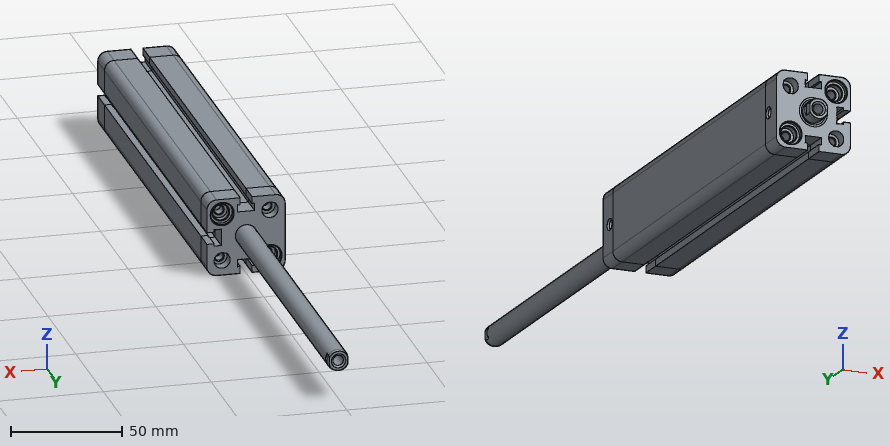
import cadquery as cq

TOTAL_LENGTH = 370.0
HALF_LENGTH = TOTAL_LENGTH / 2
ROD_FRONT_STICK_OUT = 6.0
FRONT_CAP_LENGTH = 12.2
BARREL_LENGTH = 174.0
REAR_CAP_LENGTH = 11.0

FRONT_FACE = -HALF_LENGTH + ROD_FRONT_STICK_OUT
BARREL_FRONT = FRONT_FACE + FRONT_CAP_LENGTH
BARREL_REAR = BARREL_FRONT + BARREL_LENGTH
REAR_FACE = BARREL_REAR + REAR_CAP_LENGTH

WIDTH = 36.3
HALF_WIDTH = WIDTH / 2
CORNER_RADIUS = 4.5

SLOT_MOUTH_WIDTH = 5.5
SLOT_MOUTH_DEPTH = 3.5
SLOT_INNER_WIDTH = 7.8
SLOT_DEPTH = 6.5
SLOT_ANGLES = (-90, 0, 90)

ROD_DIAMETER = 10.0
ROD_END_DIAMETER = 9.3
ROD_TAPER_LENGTH = 1.5
FLAT_LENGTH = 4.0
ACROSS_FLATS = 8.5
ROD_HOLE_DIAMETER = 4.8
ROD_HOLE_DEPTH = 11.0
ROD_HOLE_MOUTH_DIAMETER = 6.5
ROD_HOLE_MOUTH_DEPTH = 0.7

BEARING_DIAMETER = 13.7
BEARING_LENGTH = 9.3
BEARING_INNER_END = FRONT_FACE + BEARING_LENGTH
BEARING_LIP_DIAMETER = 12.0
BEARING_LIP_DEPTH = 0.7

HOLE_OFFSET = 11.0
COUNTERBORE_DIAMETER = 7.5
COUNTERBORE_DEPTH = 1.5
CORE_DIAMETER = 4.0
CORE_MOUTH_DIAMETER = 4.8
CORE_MOUTH_DEPTH = 0.1
SPOT_MOUTH_DIAMETER = 11.0
SPOT_MOUTH_DEPTH = 0.1
SPOT_FACE_DIAMETER = 10.5
SPOT_FACE_DEPTH = 0.6
SPOT_STEP_DIAMETER = 8.0
SPOT_STEP_DEPTH = 0.1
PLAIN_HOLES = ((-HOLE_OFFSET, HOLE_OFFSET), (HOLE_OFFSET, -HOLE_OFFSET))
SPOT_FACED_HOLES = ((HOLE_OFFSET, HOLE_OFFSET), (-HOLE_OFFSET, -HOLE_OFFSET))

PORT_DIAMETER = 4.0
PORT_CHAMFER = 0.7
PORT_DEPTH = 7.5
FRONT_PORT_INSET = 9.0
REAR_PORT_INSET = 7.5
FRONT_PORT_Y = FRONT_FACE + FRONT_PORT_INSET
REAR_PORT_Y = REAR_FACE - REAR_PORT_INSET


def cylinder(diameter, start, end, x=0.0, z=0.0):
    """Cylinder along Y between two Y positions."""
    plane = cq.Workplane("XZ", origin=(x, start, z))
    return plane.circle(diameter / 2).extrude(start - end)


def cone(start_diameter, end_diameter, start, end, x=0.0, z=0.0):
    """Truncated cone along Y between two Y positions."""
    outline = [(0, start), (start_diameter / 2, start), (end_diameter / 2, end), (0, end)]
    profile = cq.Workplane("XY").polyline(outline).close()
    return profile.revolve(360, (0, 0), (0, 1)).translate((x, 0, z))


def slot_cutter(start, end):
    """T-slot along Y, open on the +X side."""
    mouth_floor = HALF_WIDTH - SLOT_MOUTH_DEPTH
    slot_floor = HALF_WIDTH - SLOT_DEPTH
    outline = [
        (HALF_WIDTH, SLOT_MOUTH_WIDTH / 2),
        (mouth_floor, SLOT_MOUTH_WIDTH / 2),
        (mouth_floor, SLOT_INNER_WIDTH / 2),
        (slot_floor, SLOT_INNER_WIDTH / 2),
    ]
    outline += [(x, -z) for x, z in reversed(outline)]
    return cq.Workplane("XZ", origin=(0, start, 0)).polyline(outline).close().extrude(start - end)


def profile_block(start, end):
    """Length of the slotted square profile, bored for the rod."""
    plane = cq.Workplane("XZ", origin=(0, start, 0))
    block = plane.rect(WIDTH, WIDTH).extrude(start - end).edges("|Y").fillet(CORNER_RADIUS)
    for angle in SLOT_ANGLES:
        block = block.cut(slot_cutter(start, end).rotate((0, 0, 0), (0, 1, 0), angle))
    return block.cut(cylinder(ROD_DIAMETER, start, end))


def port_cutter(port_y):
    """Round port with a chamfered mouth, entering from the -X side."""
    mouth_radius = PORT_DIAMETER / 2 + PORT_CHAMFER
    outline = [
        (0, 0),
        (mouth_radius, 0),
        (PORT_DIAMETER / 2, PORT_CHAMFER),
        (PORT_DIAMETER / 2, PORT_DEPTH),
        (0, PORT_DEPTH),
    ]
    port = cq.Workplane("XY").polyline(outline).close().revolve(360, (0, 0), (0, 1))
    return port.rotate((0, 0, 0), (0, 0, 1), -90).translate((-HALF_WIDTH, port_y, 0))


def cap(outer_face, inner_face, port_y):
    """End cap with four corner holes and an air port."""
    inward = 3.7 if inner_face > outer_face else -3.7
    body = profile_block(min(outer_face, inner_face), max(outer_face, inner_face))
    for x, z in PLAIN_HOLES + SPOT_FACED_HOLES:
        body = body.cut(cylinder(CORE_DIAMETER, outer_face, inner_face, x, z))
        bore_floor = outer_face + inward * COUNTERBORE_DEPTH
        body = body.cut(cylinder(COUNTERBORE_DIAMETER, outer_face, bore_floor, x, z))
        mouth_floor = bore_floor + inward * CORE_MOUTH_DEPTH
        body = body.cut(cone(CORE_MOUTH_DIAMETER, CORE_DIAMETER, bore_floor, mouth_floor, x, z))
    for x, z in SPOT_FACED_HOLES:
        spot_floor = outer_face + inward * SPOT_FACE_DEPTH
        body = body.cut(cylinder(SPOT_FACE_DIAMETER, outer_face, spot_floor, x, z))
        lip_floor = outer_face + inward * SPOT_MOUTH_DEPTH
        body = body.cut(cone(SPOT_MOUTH_DIAMETER, SPOT_FACE_DIAMETER, outer_face, lip_floor, x, z))
        step_floor = spot_floor + inward * SPOT_STEP_DEPTH
        body = body.cut(cone(SPOT_STEP_DIAMETER, COUNTERBORE_DIAMETER, spot_floor, step_floor, x, z))
    return body.cut(port_cutter(port_y))


def make_front_cap():
    """Front cap with a seat for the bearing."""
    body = cap(FRONT_FACE, BARREL_FRONT, FRONT_PORT_Y)
    return body.cut(cylinder(BEARING_DIAMETER, FRONT_FACE, BEARING_INNER_END))


def make_bearing():
    """Ring around the rod, flush with the front face, with a tapered lip."""
    lip_floor = FRONT_FACE + BEARING_LIP_DEPTH
    ring = cylinder(BEARING_DIAMETER, FRONT_FACE, BEARING_INNER_END)
    ring = ring.cut(cylinder(ROD_DIAMETER, FRONT_FACE, BEARING_INNER_END))
    return ring.cut(cone(BEARING_LIP_DIAMETER, ROD_DIAMETER, FRONT_FACE, lip_floor))


def make_rod():
    """Rod with tapered ends, two wrench flats and a hole at each end."""
    rod = cylinder(ROD_DIAMETER, ROD_TAPER_LENGTH - HALF_LENGTH, HALF_LENGTH - ROD_TAPER_LENGTH)
    side_cut = (ROD_DIAMETER - ACROSS_FLATS) / 2
    for end in (-1, 1):
        end_face = end * HALF_LENGTH
        taper_start = end_face - end * ROD_TAPER_LENGTH
        rod = rod.union(cone(ROD_DIAMETER, ROD_END_DIAMETER, taper_start, end_face))
        for side in (-1, 1):
            flat = cq.Workplane("XY").box(side_cut, FLAT_LENGTH, ROD_DIAMETER)
            flat_x = side * (ACROSS_FLATS + side_cut) / 2
            rod = rod.cut(flat.translate((flat_x, end_face - end * FLAT_LENGTH / 2, 0)))
        rod = rod.cut(cylinder(ROD_HOLE_DIAMETER, end_face, end_face - end * ROD_HOLE_DEPTH))
        mouth_floor = end_face - end * ROD_HOLE_MOUTH_DEPTH
        rod = rod.cut(cone(ROD_HOLE_MOUTH_DIAMETER, ROD_HOLE_DIAMETER, end_face, mouth_floor))
    return rod


rod = make_rod()
front_cap = make_front_cap()
bearing = make_bearing()
barrel = profile_block(BARREL_FRONT, BARREL_REAR)
rear_cap = cap(REAR_FACE, BARREL_REAR, REAR_PORT_Y)

result = cq.Compound.makeCompound(
    [rod.val(), front_cap.val(), bearing.val(), barrel.val(), rear_cap.val()]
)